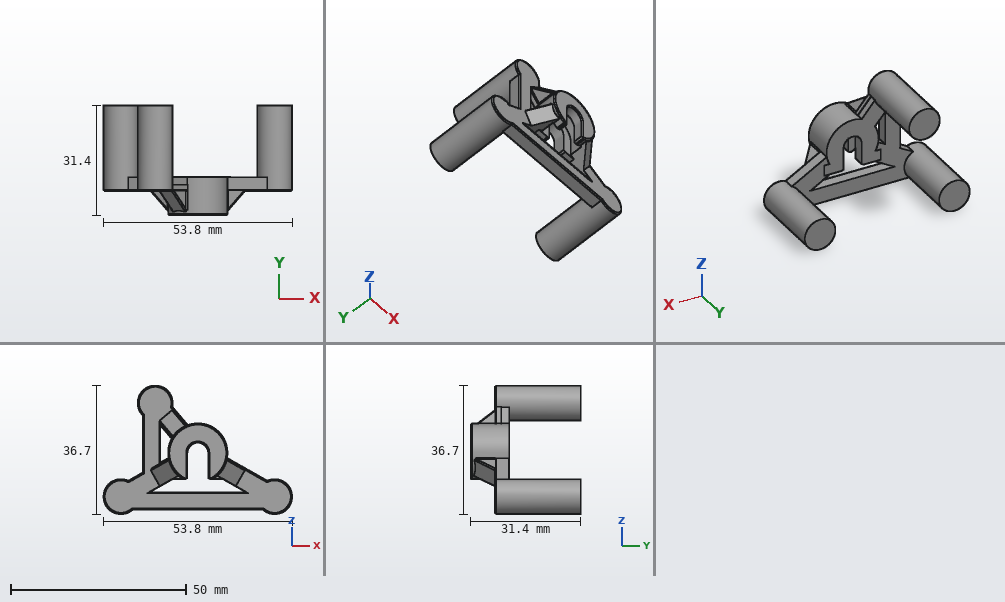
import cadquery as cq
import math

CHAMFER = 0.4

POST_DIAMETER = 10.0
POST_LENGTH = 24.5
POST_SPAN = 43.84
LOWER_POST_Z = -12.43
UPPER_POST_RISE = 26.71
UPPER_POST_SHIFT = 9.77
LEFT_POST = (-POST_SPAN / 2, LOWER_POST_Z)
RIGHT_POST = (POST_SPAN / 2, LOWER_POST_Z)
UPPER_POST = (LEFT_POST[0] + UPPER_POST_SHIFT, LOWER_POST_Z + UPPER_POST_RISE)

FRAME_DEPTH = 4.0
BAR_HALF_WIDTH = 2.5
LOWER_BAR_OFFSET = 1.2
LOWER_BAR_Z = LOWER_POST_Z - LOWER_BAR_OFFSET
UPRIGHT_BAR_OFFSET = 1.0
UPRIGHT_BAR_X = UPPER_POST[0] - UPRIGHT_BAR_OFFSET
ARM_HALF_WIDTH = 2.9
UPPER_ARM_HALF_WIDTH = 3.0
UPPER_ARM_REAR_HALF_WIDTH = 2.87
UPPER_ARM_STEP = 1.85

HUB_RADIUS = 8.5
HUB_FRONT = -6.9
HUB_BACK = 4.1
HUB_FLAT_Z = -7.44
SLOT_RADIUS = 2.95
MOUTH_FLARE_WIDTH = 0.7
MOUTH_FLARE_HEIGHT = 0.33

POCKET_RADIUS = 5.9
POCKET_FRONT = -3.75
POCKET_BACK = 0.4

BRACE_HALF_WIDTH = 2.7
BRACE_FOOT_RADIUS = 14.1
BRACE_INNER_RADIUS = 7.6
BRACE_ROOT_DEPTH = UPPER_ARM_STEP
CORNER_FILL = 0.35

WEB_HALF_WIDTH = 9.2
WEB_TOP = -4.0


def block(x_range, y_range, z_range):
    """Axis-aligned block between the given limits."""
    size = [high - low for low, high in (x_range, y_range, z_range)]
    corner = (x_range[0], y_range[0], z_range[0])
    return cq.Workplane("XY").box(*size, centered=False).translate(corner)


def cylinder(center, radius, y_start, y_end):
    """Cylinder along Y around the (x, z) center."""
    plane = cq.Workplane("XZ", origin=(center[0], y_start, center[1]))
    return plane.circle(radius).extrude(y_start - y_end)


def point_from_hub(solid, target):
    """Turn a solid laid along +X so that it points from the hub axis to the target."""
    angle = math.degrees(math.atan2(target[1], target[0]))
    return solid.rotate((0, 0, 0), (0, 1, 0), -angle)


def post(center):
    return cylinder(center, POST_DIAMETER / 2, 0, POST_LENGTH).faces("<Y").edges().chamfer(CHAMFER)


def lower_bar():
    bar = block(
        (LEFT_POST[0], RIGHT_POST[0]),
        (0, FRAME_DEPTH),
        (LOWER_BAR_Z - BAR_HALF_WIDTH, LOWER_BAR_Z + BAR_HALF_WIDTH),
    )
    return bar.faces("<Y").edges("|X").chamfer(CHAMFER)


def upright_bar():
    foot_z = UPRIGHT_BAR_X * LEFT_POST[1] / LEFT_POST[0]
    bar = block(
        (UPRIGHT_BAR_X - BAR_HALF_WIDTH, UPRIGHT_BAR_X + BAR_HALF_WIDTH),
        (0, FRAME_DEPTH),
        (foot_z, UPPER_POST[1]),
    )
    return bar.faces("<Y").edges("|Z").chamfer(CHAMFER)


def plain_arm(target, half_width, front, back):
    """Square-edged arm laid along +X, as long as the distance from the hub axis to the target."""
    length_range = (BRACE_INNER_RADIUS, math.hypot(*target))
    return block(length_range, (front, back), (-half_width, half_width))


def lower_arm(target, outer_side):
    """Arm to a lower post, with the front edge of its outer side chamfered."""
    bar = plain_arm(target, ARM_HALF_WIDTH, 0, FRAME_DEPTH)
    return point_from_hub(bar.faces("<Y").edges(outer_side).chamfer(CHAMFER), target)


def upper_arm():
    """Arm to the upper post, slightly wider in front than behind."""
    front = plain_arm(UPPER_POST, UPPER_ARM_HALF_WIDTH, 0, UPPER_ARM_STEP)
    front = front.faces("<Y").edges("|X").chamfer(CHAMFER)
    rear = plain_arm(UPPER_POST, UPPER_ARM_REAR_HALF_WIDTH, UPPER_ARM_STEP, HUB_BACK)
    return point_from_hub(front.union(rear), UPPER_POST)


def brace(target, low_side, high_side, chamfered_sides):
    """45 degree brace between an arm and the hub, spanning low_side to high_side across the arm."""
    rise = BRACE_FOOT_RADIUS - BRACE_INNER_RADIUS
    wedge = (
        cq.Workplane("XY", origin=(0, 0, low_side))
        .moveTo(BRACE_INNER_RADIUS, BRACE_ROOT_DEPTH)
        .lineTo(BRACE_FOOT_RADIUS, BRACE_ROOT_DEPTH)
        .lineTo(BRACE_FOOT_RADIUS, 0)
        .lineTo(BRACE_INNER_RADIUS, -rise)
        .close()
        .extrude(high_side - low_side)
    )
    for side in chamfered_sides:
        wedge = wedge.faces(side).edges("<Y").chamfer(CHAMFER)
    return point_from_hub(wedge, target)


def hub():
    below_flat = block((-HUB_RADIUS, HUB_RADIUS), (HUB_FRONT, HUB_BACK), (-HUB_RADIUS, HUB_FLAT_Z))
    body = cylinder((0, 0), HUB_RADIUS, HUB_FRONT, HUB_BACK).cut(slot())
    return body.faces("<Y").edges().chamfer(CHAMFER).cut(below_flat)


def open_slot(radius, front, back, bottom):
    """Cutter with a round top on the hub axis and straight sides down to the bottom."""
    round_top = cylinder((0, 0), radius, front, back)
    return round_top.union(block((-radius, radius), (front, back), (bottom, 0)))


def slot():
    return open_slot(SLOT_RADIUS, HUB_FRONT, HUB_BACK, -HUB_RADIUS)


def web():
    plate = block((-WEB_HALF_WIDTH, WEB_HALF_WIDTH), (POCKET_BACK, HUB_BACK), (HUB_FLAT_Z, WEB_TOP))
    return plate.cut(slot())


def corner_fill(target, side):
    """Small bevel filling the corner between the hub wall and one side of a brace."""
    wall = math.sqrt(HUB_RADIUS**2 - BRACE_HALF_WIDTH**2)
    wall_angle = math.asin(BRACE_HALF_WIDTH / HUB_RADIUS) + CORNER_FILL / HUB_RADIUS
    inner_side = BRACE_HALF_WIDTH - CHAMFER
    outline = [
        (BRACE_INNER_RADIUS, side * inner_side),
        (wall + CORNER_FILL, side * inner_side),
        (wall + CORNER_FILL, side * BRACE_HALF_WIDTH),
        (HUB_RADIUS * math.cos(wall_angle), side * HUB_RADIUS * math.sin(wall_angle)),
    ]
    height = BRACE_FOOT_RADIUS - wall - CORNER_FILL - CHAMFER
    fill = cq.Workplane("XZ").polyline(outline).close().extrude(height)
    return point_from_hub(fill, target)


def mouth_flare():
    """Cutter that widens the slot just above the hub flat."""
    flare_top = HUB_FLAT_Z + MOUTH_FLARE_HEIGHT
    flare_half_width = SLOT_RADIUS + MOUTH_FLARE_WIDTH
    outline = [
        (-flare_half_width, HUB_FLAT_Z),
        (-SLOT_RADIUS, flare_top),
        (SLOT_RADIUS, flare_top),
        (flare_half_width, HUB_FLAT_Z),
    ]
    profile = cq.Workplane("XZ", origin=(0, HUB_FRONT, 0)).polyline(outline).close()
    return profile.extrude(HUB_FRONT - HUB_BACK)


def pocket():
    return open_slot(POCKET_RADIUS, POCKET_FRONT, POCKET_BACK, HUB_FLAT_Z)


solids = [
    web(),
    lower_bar(),
    upright_bar(),
    post(LEFT_POST),
    post(RIGHT_POST),
    post(UPPER_POST),
    lower_arm(LEFT_POST, "<Z"),
    lower_arm(RIGHT_POST, ">Z"),
    upper_arm(),
    brace(LEFT_POST, -BRACE_HALF_WIDTH, ARM_HALF_WIDTH, ["<Z"]),
    brace(RIGHT_POST, -ARM_HALF_WIDTH, BRACE_HALF_WIDTH, [">Z"]),
    brace(UPPER_POST, -BRACE_HALF_WIDTH, BRACE_HALF_WIDTH, ["<Z", ">Z"]),
    corner_fill(LEFT_POST, -1),
    corner_fill(RIGHT_POST, 1),
    corner_fill(UPPER_POST, -1),
    corner_fill(UPPER_POST, 1),
]

result = hub()
for solid in solids:
    result = result.union(solid)
result = result.cut(pocket()).cut(mouth_flare())